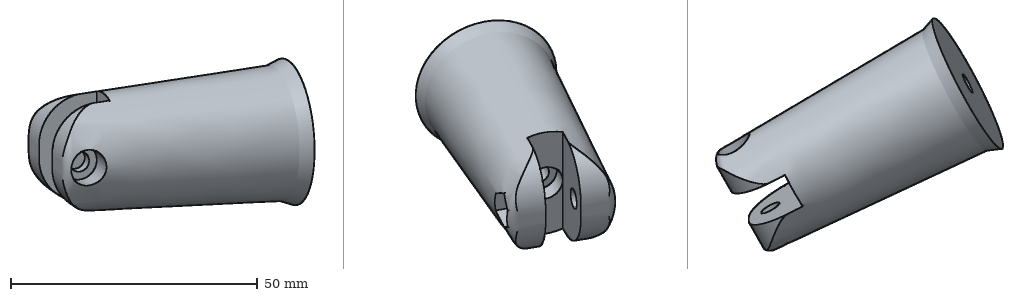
import cadquery as cq
import math

length = 52.76
rim_radius = 15.0
rim_length = 2.9
neck_radius = 13.9
tip_radius = 11.5
tip_edge_fillet = 2.0

fork_round_radius = 10.0
fork_half_height = 11.4
slot_width = 7.5
slot_depth = 12.5

bolt_hole_diameter = 4.2
pivot_from_tip = 5.0
nut_across_flats = 7.0
head_pocket_diameter = 7.5
ear_web = 2.5

axial_pocket_diameter = 7.5
axial_pocket_depth = 4.0

tip_y = -length
pivot_y = tip_y + pivot_from_tip
slot_floor_y = tip_y + slot_depth
pocket_floor_x = slot_width / 2 + ear_web


def tapered_body():
    """Solid of revolution: flared rim, long taper, rounded end edge."""
    profile = [
        (0, 0),
        (rim_radius, 0),
        (neck_radius, -rim_length),
        (tip_radius, tip_y),
        (0, tip_y),
    ]
    body = cq.Workplane("XY").polyline(profile).close().revolve(360, (0, 0), (0, 1))
    return body.faces("<Y").edges().fillet(tip_edge_fillet)


def fork_envelope():
    """Prism along X with a rounded fork end; beyond the rounding it clears the body."""
    round_start_y = tip_y + fork_round_radius
    flat_half_height = fork_half_height - fork_round_radius
    arc_inset = fork_round_radius * (1 - math.sqrt(0.5))
    arc_mid_y = tip_y + arc_inset
    arc_mid_z = fork_half_height - arc_inset
    return (
        cq.Workplane("YZ")
        .moveTo(tip_y, -flat_half_height)
        .lineTo(tip_y, flat_half_height)
        .threePointArc((arc_mid_y, arc_mid_z), (round_start_y, fork_half_height))
        .lineTo(round_start_y, rim_radius)
        .lineTo(0, rim_radius)
        .lineTo(0, -rim_radius)
        .lineTo(round_start_y, -rim_radius)
        .lineTo(round_start_y, -fork_half_height)
        .threePointArc((arc_mid_y, -arc_mid_z), (tip_y, -flat_half_height))
        .close()
        .extrude(rim_radius, both=True)
    )


def fork_slot():
    """Full-height slot that splits the end into two ears."""
    return (
        cq.Workplane("XY")
        .box(slot_width, slot_depth, 2 * rim_radius, centered=(True, False, True))
        .translate((0, tip_y, 0))
    )


def pivot_cutter():
    """Pin hole through both ears, nut pocket on -X and round head pocket on +X."""

    def plane_at(x):
        return cq.Workplane("YZ", origin=(x, pivot_y, 0))

    pin = plane_at(-rim_radius).circle(bolt_hole_diameter / 2).extrude(2 * rim_radius)
    nut_across_corners = nut_across_flats / math.cos(math.pi / 6)
    nut = (
        plane_at(-pocket_floor_x)
        .transformed(rotate=(0, 0, 90))
        .polygon(6, nut_across_corners)
        .extrude(pocket_floor_x - rim_radius)
    )
    head = (
        plane_at(pocket_floor_x)
        .circle(head_pocket_diameter / 2)
        .extrude(rim_radius - pocket_floor_x)
    )
    return pin.union(nut).union(head)


def axial_cutter():
    """Through hole on the handle axis with a round pocket in the slot floor."""
    hole = cq.Workplane("XZ").circle(bolt_hole_diameter / 2).extrude(length)
    pocket = (
        cq.Workplane("XZ", origin=(0, slot_floor_y + axial_pocket_depth, 0))
        .circle(axial_pocket_diameter / 2)
        .extrude(axial_pocket_depth)
    )
    return hole.union(pocket)


result = (
    tapered_body()
    .intersect(fork_envelope())
    .cut(fork_slot())
    .cut(pivot_cutter())
    .cut(axial_cutter())
)